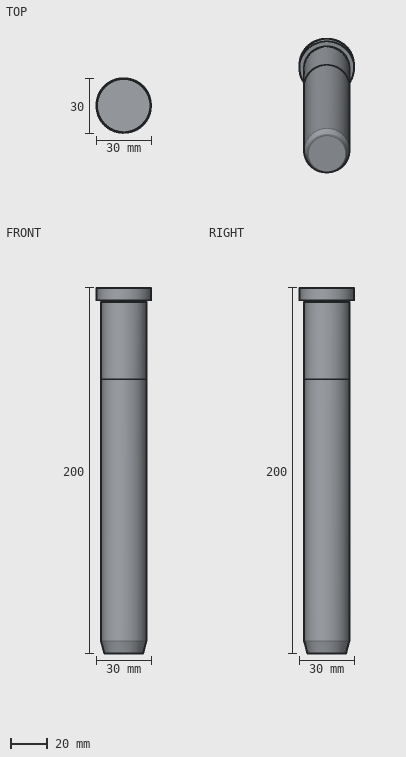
import cadquery as cq
import math

total_length = 200.0
shank_radius = 12.5
head_radius = 15.0
head_height = 7.0
head_chamfer = 0.5
mounting_length = 50.0

groove_width = 1.0
groove_depth = 0.5
groove_fillet = 0.6

taper_length = 7.0
taper_angle = 15.0
tip_fillet = 0.5

joint_z = total_length - mounting_length
head_bottom_z = total_length - head_height
groove_bottom_z = head_bottom_z - groove_width
groove_radius = shank_radius - groove_depth
tip_radius = shank_radius - taper_length * math.tan(math.radians(taper_angle))


def revolve_about_z(half_outline):
    """Turn a closed half outline in the XZ plane a full turn about the pin axis."""
    return half_outline.revolve(360, (0, 0, 0), (0, 1, 0))


def make_mounting_end():
    """Chamfered head, relief groove and fitted shank above the joint."""
    fillet_mid_offset = groove_fillet * (1 - math.cos(math.pi / 4))
    fillet_middle = (groove_radius + fillet_mid_offset, head_bottom_z - fillet_mid_offset)
    fillet_end = (groove_radius + groove_fillet, head_bottom_z)
    half_outline = (
        cq.Workplane("XZ")
        .moveTo(0, joint_z)
        .lineTo(shank_radius, joint_z)
        .lineTo(shank_radius, groove_bottom_z)
        .lineTo(groove_radius, head_bottom_z - groove_fillet)
        .threePointArc(fillet_middle, fillet_end)
        .lineTo(head_radius, head_bottom_z)
        .lineTo(head_radius, total_length)
        .lineTo(0, total_length)
        .close()
    )
    return revolve_about_z(half_outline).faces(">Z").edges().chamfer(head_chamfer)


def make_guide_end():
    """Sliding shank below the joint, with its tapered and rounded tip."""
    half_outline = (
        cq.Workplane("XZ")
        .moveTo(0, joint_z)
        .lineTo(shank_radius, joint_z)
        .lineTo(shank_radius, taper_length)
        .lineTo(tip_radius, 0)
        .lineTo(0, 0)
        .close()
    )
    return revolve_about_z(half_outline).faces("<Z").edges().fillet(tip_fillet)


mounting_end = make_mounting_end()
guide_end = make_guide_end()

result = cq.Compound.makeCompound([mounting_end.val(), guide_end.val()])